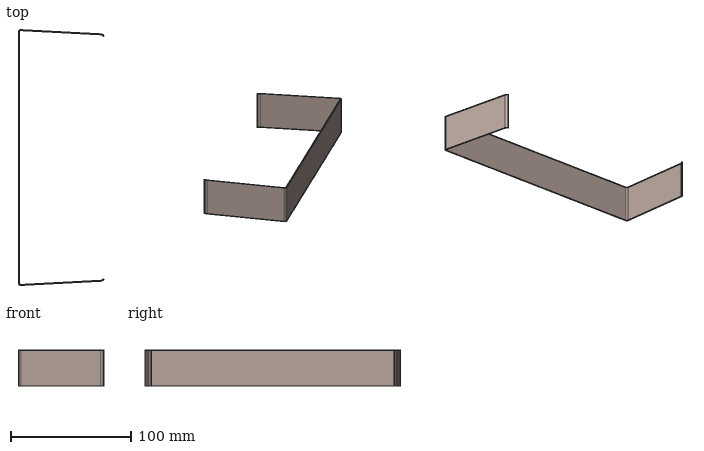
import cadquery as cq
import math

LENGTH_X = 71.22
WIDTH_Y = 213.1
HEIGHT_Z = 30.0

THICKNESS = 0.8
CORNER_RADIUS = 1.8
LEG_ANGLE = 3.0
LIP_RADIUS = 3.8
LIP_SWEEP = 52.0

HALF_WIDTH = WIDTH_Y / 2
LIP_END_ANGLE = LEG_ANGLE + LIP_SWEEP


def on_circle(center, radius, angle):
    """Point on a circle, with the angle measured clockwise from +Y."""
    turn = math.radians(angle)
    return (center[0] + radius * math.sin(turn), center[1] + radius * math.cos(turn))


corner_center = (CORNER_RADIUS, HALF_WIDTH - CORNER_RADIUS)

lip_center_x = LENGTH_X - LIP_RADIUS * math.sin(math.radians(LIP_END_ANGLE))
radius_change = LIP_RADIUS - CORNER_RADIUS
lean = math.radians(LEG_ANGLE)
leg_run = (lip_center_x - corner_center[0] + radius_change * math.sin(lean)) / math.cos(lean)
lip_center = (
    lip_center_x,
    corner_center[1] - leg_run * math.sin(lean) - radius_change * math.cos(lean),
)


def half_strip():
    """Half of the back, the +Y corner bend, the leg and its curled lip."""
    corner_inner = CORNER_RADIUS - THICKNESS
    lip_inner = LIP_RADIUS - THICKNESS
    corner_mid_angle = (LEG_ANGLE - 90) / 2
    lip_mid_angle = LEG_ANGLE + LIP_SWEEP / 2
    return (
        cq.Workplane("XY")
        .moveTo(0, 0)
        .lineTo(*on_circle(corner_center, CORNER_RADIUS, -90))
        .threePointArc(
            on_circle(corner_center, CORNER_RADIUS, corner_mid_angle),
            on_circle(corner_center, CORNER_RADIUS, LEG_ANGLE),
        )
        .lineTo(*on_circle(lip_center, LIP_RADIUS, LEG_ANGLE))
        .threePointArc(
            on_circle(lip_center, LIP_RADIUS, lip_mid_angle),
            on_circle(lip_center, LIP_RADIUS, LIP_END_ANGLE),
        )
        .lineTo(*on_circle(lip_center, lip_inner, LIP_END_ANGLE))
        .threePointArc(
            on_circle(lip_center, lip_inner, lip_mid_angle),
            on_circle(lip_center, lip_inner, LEG_ANGLE),
        )
        .lineTo(*on_circle(corner_center, corner_inner, LEG_ANGLE))
        .threePointArc(
            on_circle(corner_center, corner_inner, corner_mid_angle),
            on_circle(corner_center, corner_inner, -90),
        )
        .lineTo(THICKNESS, 0)
        .close()
        .extrude(HEIGHT_Z)
    )


upper_half = half_strip()
result = upper_half.union(upper_half.mirror("XZ")).clean()